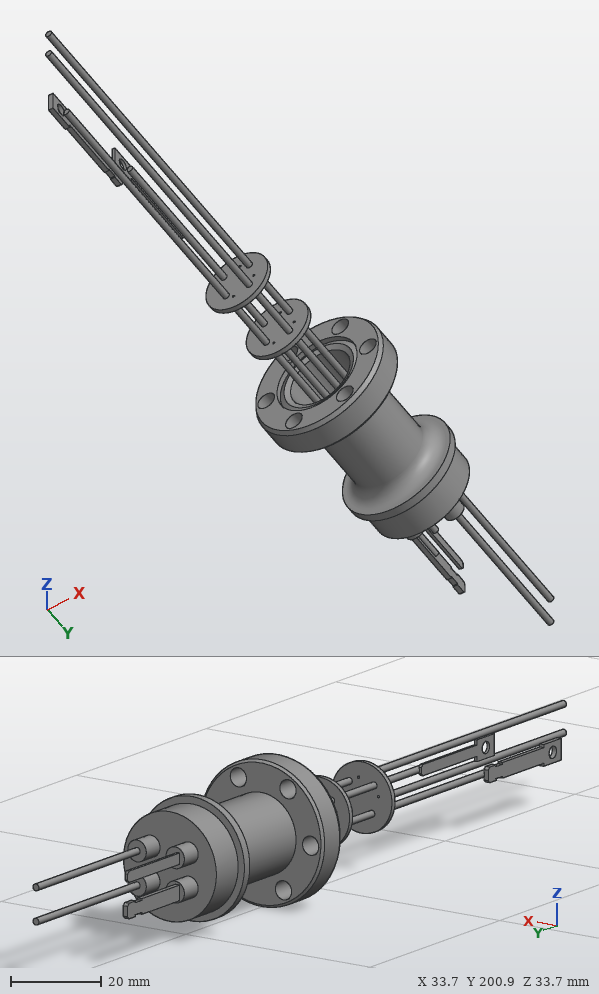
import math

import cadquery as cq


FLANGE_D = 33.73
FLANGE_T = 7.5
FRONT_CHAMFER_LENGTH = 1.1
BACK_CHAMFER_LENGTH = 0.6
CHAMFER_RADIAL = 0.6
BOLT_COUNT = 6
BOLT_CIRCLE_D = 27.0
BOLT_HOLE_D = 4.4
BOLT_ANGLE = 3.0

RECESS_D = 21.2
RECESS_DEPTH = 1.3
KNIFE_D = 18.4
KNIFE_DEPTH = 0.7

TUBE_D = 19.05
BORE_D = 15.75
FLARE_RADIUS = 3.6
LIP_Y = 32.1
LIP_D = 28.6
LIP_T = 2.1
CAP_Y = LIP_Y + LIP_T
CAP_D = 25.2
CAP_LENGTH = 8.4
CAP_END_Y = CAP_Y + CAP_LENGTH

INSULATOR_D = 5.0
INSULATOR_LENGTH = 5.3
INSULATOR_X = 5.17
INSULATOR_Z = 3.93
INSULATOR_END_Y = CAP_END_Y + INSULATOR_LENGTH

ROD_D = 1.6
ROD_AIR_END_Y = 86.9
TOTAL_LENGTH = 200.85
ROD_VACUUM_END_Y = ROD_AIR_END_Y - TOTAL_LENGTH
ROD_X = 3.36
PIN_Z = 3.3
AIR_PIN_END_Y = 56.0

DISC_D = 16.4
DISC_T = 1.2
DISC_CENTERS_Y = (-15.6, -31.95)
VENT_D = 0.5
VENT_CIRCLE_D = 9.2
VENT_ANGLE = -11.0
VENT_COUNT = 4

NARROW_WIDTH = 2.6
NARROW_THICKNESS = 0.7
WIDE_WIDTH = 3.6
WIDE_THICKNESS = 1.2
WAIST_LENGTH = 2.4
WAIST_WIDTH = 2.8
WAIST_FROM_TIP = 4.3
TIP_CHAMFER = 0.6
AIR_TIP_Y = 68.0
AIR_BLADE_X = -6.4
VACUUM_BLADE_X = -4.6
HEAD_WIDTH = 5.0
HEAD_LENGTH = 6.8
HEAD_HOLE_D = 2.8
BLADE_LENGTH = 28.2
HOLE_FROM_END = 3.3
UPPER_PIN_X = -3.35
UPPER_PIN_END_Y = -70.8
UPPER_TIP_Y = -47.8
LOWER_PIN_X = -2.75
LOWER_PIN_END_Y = -97.4
LOWER_TIP_Y = -73.6


def cylinder(diameter, y_start, y_end, x=0.0, z=0.0):
    """Cylinder along Y between two Y positions."""
    start = cq.Vector(x, y_start, z)
    return cq.Workplane(cq.Solid.makeCylinder(diameter / 2, y_end - y_start, start, cq.Vector(0, 1, 0)))


def box(x_start, x_size, y_start, y_end, z_center, z_size):
    """Box given by its X start, Y range and Z centre."""
    corner = cq.Vector(x_start, y_start, z_center - z_size / 2)
    return cq.Workplane(cq.Solid.makeBox(x_size, y_end - y_start, z_size, corner))


def cut_hole_circle(plate, y_start, y_end, hole_d, circle_d, count, first_angle):
    """Cut evenly spaced holes along Y on a circle about the axis."""
    for index in range(count):
        angle = math.radians(first_angle + index * 360 / count)
        x = circle_d / 2 * math.cos(angle)
        z = circle_d / 2 * math.sin(angle)
        plate = plate.cut(cylinder(hole_d, y_start, y_end, x, z))
    return plate


def make_body():
    """Flange, tube, flare, lip and cap, revolved about Y with the blind bore and knife edge."""
    flange_r = FLANGE_D / 2
    chamfered_r = flange_r - CHAMFER_RADIAL
    tube_r = TUBE_D / 2
    flare_start_y = LIP_Y - FLARE_RADIUS
    diagonal = FLARE_RADIUS * math.sqrt(0.5)
    flare_middle = (tube_r + FLARE_RADIUS - diagonal, flare_start_y + diagonal)
    profile = (
        cq.Workplane("XY")
        .moveTo(0, CAP_Y)
        .lineTo(BORE_D / 2, CAP_Y)
        .lineTo(BORE_D / 2, RECESS_DEPTH)
        .lineTo(KNIFE_D / 2, KNIFE_DEPTH)
        .lineTo(RECESS_D / 2, RECESS_DEPTH)
        .lineTo(RECESS_D / 2, 0)
        .lineTo(chamfered_r, 0)
        .lineTo(flange_r, FRONT_CHAMFER_LENGTH)
        .lineTo(flange_r, FLANGE_T - BACK_CHAMFER_LENGTH)
        .lineTo(chamfered_r, FLANGE_T)
        .lineTo(tube_r, FLANGE_T)
        .lineTo(tube_r, flare_start_y)
        .threePointArc(flare_middle, (tube_r + FLARE_RADIUS, LIP_Y))
        .lineTo(LIP_D / 2, LIP_Y)
        .lineTo(LIP_D / 2, CAP_Y)
        .lineTo(CAP_D / 2, CAP_Y)
        .lineTo(CAP_D / 2, CAP_END_Y)
        .lineTo(0, CAP_END_Y)
        .close()
    )
    body = profile.revolve(360, (0, 0, 0), (0, 1, 0))
    return cut_hole_circle(body, 0, FLANGE_T, BOLT_HOLE_D, BOLT_CIRCLE_D, BOLT_COUNT, BOLT_ANGLE)


def make_insulators():
    """Four ceramic sleeves standing on the cap."""
    sleeves = cq.Workplane()
    for x in (-INSULATOR_X, INSULATOR_X):
        for z in (-INSULATOR_Z, INSULATOR_Z):
            sleeves = sleeves.add(cylinder(INSULATOR_D, CAP_END_Y, INSULATOR_END_Y, x, z))
    return sleeves


def make_discs():
    """Two spacer discs with small vent holes."""
    discs = cq.Workplane()
    for center_y in DISC_CENTERS_Y:
        y_start = center_y - DISC_T / 2
        y_end = center_y + DISC_T / 2
        disc = cylinder(DISC_D, y_start, y_end)
        disc = cut_hole_circle(disc, y_start, y_end, VENT_D, VENT_CIRCLE_D, VENT_COUNT, VENT_ANGLE)
        discs = discs.add(disc)
    return discs


def make_conductors():
    """Two long rods at +X and two shorter thermocouple pins at -X."""
    conductors = cq.Workplane()
    for side in (-1, 1):
        conductors = conductors.add(
            cylinder(ROD_D, INSULATOR_END_Y, ROD_AIR_END_Y, INSULATOR_X, side * INSULATOR_Z)
        )
        conductors = conductors.add(cylinder(ROD_D, ROD_VACUUM_END_Y, CAP_Y, ROD_X, side * PIN_Z))
        conductors = conductors.add(
            cylinder(ROD_D, INSULATOR_END_Y, AIR_PIN_END_Y, -INSULATOR_X, side * INSULATOR_Z)
        )
    conductors = conductors.add(cylinder(ROD_D, UPPER_PIN_END_Y, CAP_Y, UPPER_PIN_X, PIN_Z))
    conductors = conductors.add(cylinder(ROD_D, LOWER_PIN_END_Y, CAP_Y, LOWER_PIN_X, -PIN_Z))
    return conductors


def make_blade(x, z, y_root, y_tip, width, thickness):
    """Flat connector blade whose +Y tip has chamfered corners."""
    blade = box(x, thickness, y_root, y_tip, z, width)
    return blade.faces(">Y").edges("|X").chamfer(TIP_CHAMFER)


def cut_waist(blade, x, z, waist_y):
    """Narrow a wide blade by a short notch on each edge."""
    y_start = waist_y - WAIST_LENGTH / 2
    y_end = waist_y + WAIST_LENGTH / 2
    notch = box(x, WIDE_THICKNESS, y_start, y_end, z, WIDE_WIDTH)
    core = box(x, WIDE_THICKNESS, y_start, y_end, z, WAIST_WIDTH)
    return blade.cut(notch.cut(core))


def add_head(blade, x, z, end_y, thickness):
    """Add the widened end of a vacuum-side blade, with a hole across it along X."""
    blade = blade.union(box(x, thickness, end_y, end_y + HEAD_LENGTH, z, HEAD_WIDTH))
    hole_start = cq.Vector(x, end_y + HOLE_FROM_END, z)
    hole = cq.Solid.makeCylinder(HEAD_HOLE_D / 2, thickness, hole_start, cq.Vector(1, 0, 0))
    return blade.cut(cq.Workplane(hole))


def make_upper_connectors():
    """Narrow, thin pair of blades on the +Z pins."""
    air = make_blade(AIR_BLADE_X, INSULATOR_Z, INSULATOR_END_Y, AIR_TIP_Y, NARROW_WIDTH, NARROW_THICKNESS)
    end_y = UPPER_TIP_Y - BLADE_LENGTH
    vacuum = make_blade(VACUUM_BLADE_X, PIN_Z, end_y, UPPER_TIP_Y, NARROW_WIDTH, NARROW_THICKNESS)
    vacuum = add_head(vacuum, VACUUM_BLADE_X, PIN_Z, end_y, NARROW_THICKNESS)
    return air, vacuum


def make_lower_connectors():
    """Wide, thick and waisted pair of blades on the -Z pins."""
    air = make_blade(AIR_BLADE_X, -INSULATOR_Z, INSULATOR_END_Y, AIR_TIP_Y, WIDE_WIDTH, WIDE_THICKNESS)
    air = cut_waist(air, AIR_BLADE_X, -INSULATOR_Z, AIR_TIP_Y - WAIST_FROM_TIP)
    end_y = LOWER_TIP_Y - BLADE_LENGTH
    vacuum = make_blade(VACUUM_BLADE_X, -PIN_Z, end_y, LOWER_TIP_Y, WIDE_WIDTH, WIDE_THICKNESS)
    vacuum = cut_waist(vacuum, VACUUM_BLADE_X, -PIN_Z, LOWER_TIP_Y - WAIST_FROM_TIP)
    vacuum = add_head(vacuum, VACUUM_BLADE_X, -PIN_Z, end_y, WIDE_THICKNESS)
    return air, vacuum


result = make_body()
for group in (make_insulators(), make_discs(), make_conductors()):
    for solid in group.vals():
        result = result.union(cq.Workplane(solid))
for connector in make_upper_connectors() + make_lower_connectors():
    result = result.union(connector)